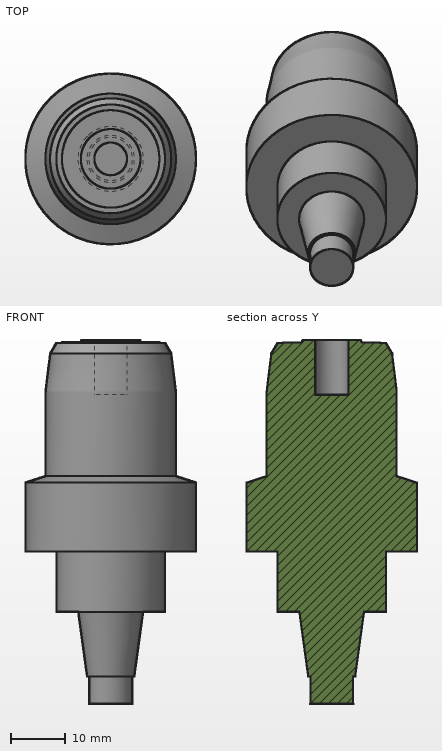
import cadquery as cq

tip_diameter = 8.0
cone_bottom_diameter = 8.7
cone_top_diameter = 12.0
neck_diameter = 20.0
flange_diameter = 31.5
barrel_diameter = 24.05
taper_top_diameter = 22.3
rim_diameter = 20.0
cap_diameter = 17.95
boss_diameter = 11.0
bore_diameter = 6.0

total_height = 67.0
tip_top = 5.0
cone_top = 16.95
neck_top = 28.0
flange_top = 40.75
barrel_bottom = 41.95
barrel_top = 57.5
taper_top = 64.5

cap_step = 0.15
cap_edge_radius = 0.1
boss_step = 0.4
boss_edge_radius = 0.3
cap_top = total_height - boss_step
rim_top = cap_top - cap_step
bore_depth = 10.05


def turned_body():
    """Solid of revolution about Z, from (diameter, height) pairs."""
    sections = [
        (tip_diameter, 0),
        (tip_diameter, tip_top),
        (cone_bottom_diameter, tip_top),
        (cone_top_diameter, cone_top),
        (neck_diameter, cone_top),
        (neck_diameter, neck_top),
        (flange_diameter, neck_top),
        (flange_diameter, flange_top),
        (barrel_diameter, barrel_bottom),
        (barrel_diameter, barrel_top),
        (taper_top_diameter, taper_top),
        (rim_diameter, rim_top),
    ]
    outline = [(0, 0)]
    outline += [(diameter / 2, height) for diameter, height in sections]
    outline += [(0, rim_top)]
    return cq.Workplane("XZ").polyline(outline).close().revolve(360, (0, 0), (0, 1))


def rounded_disc(diameter, top, edge_radius):
    """Disc from the rim up to the given height, with a rounded upper edge."""
    return (
        cq.Workplane("XY")
        .workplane(offset=rim_top)
        .circle(diameter / 2)
        .extrude(top - rim_top)
        .faces(">Z")
        .edges()
        .fillet(edge_radius)
    )


def bore():
    """Blind round hole opening in the upper face."""
    return (
        cq.Workplane("XY")
        .workplane(offset=total_height - bore_depth)
        .circle(bore_diameter / 2)
        .extrude(bore_depth)
    )


cap = rounded_disc(cap_diameter, cap_top, cap_edge_radius)
boss = rounded_disc(boss_diameter, total_height, boss_edge_radius)
result = turned_body().union(cap).union(boss).cut(bore())